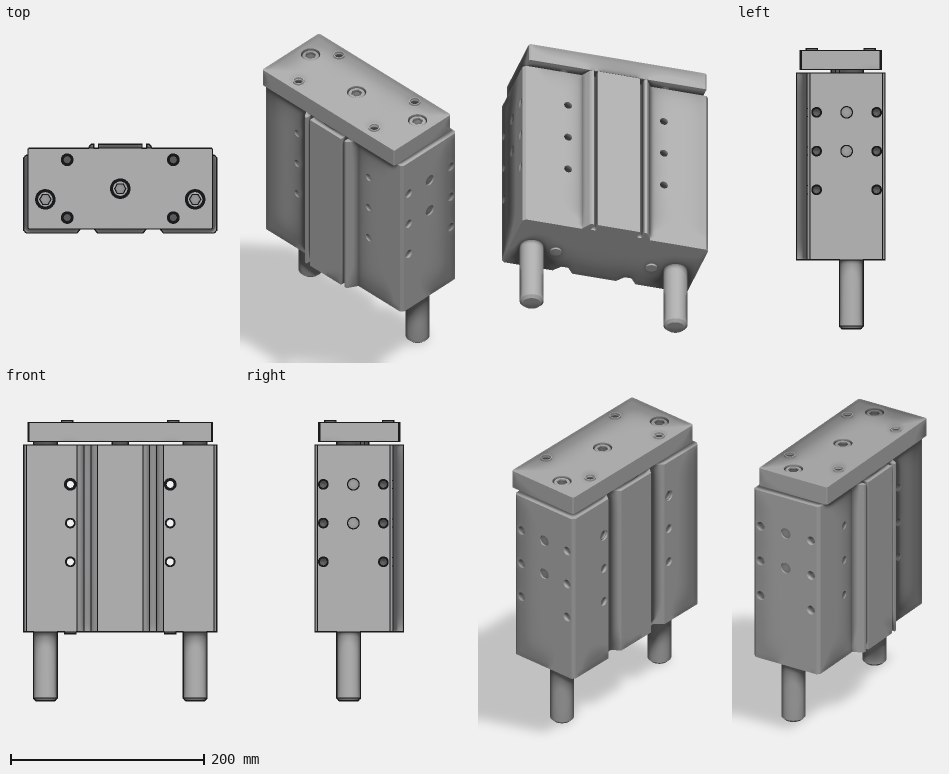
import cadquery as cq
import math

HOUSING_BOTTOM = 71.5
HOUSING_HEIGHT = 193.5
PLATE_GAP = 3.2
PLATE_THICKNESS = 20.0

HOUSING_WIDTH = 200.0
HOUSING_DEPTH = 92.0
BACK_FACE_Y = 34.8
CORNER_CHAMFER = 3.0
PAD_TOP_HALF_WIDTH = 30.0
PAD_EDGE_CHAMFER = 1.5
PAD_SLOPE_WIDTH = 5.5
SLOT_INNER_X = 22.5
SLOT_OUTER_X = 27.3
SLOT_DEPTH = 10.2
GROOVE_INNER_X = 23.5
GROOVE_OUTER_X = 44.7
GROOVE_DEPTH = 9.0
GROOVE_SLOPE_WIDTH = 7.0

HOLE_ROW_DROP = 41.0
HOLE_PITCH = 40.0
HOLE_ROWS = 3
TAP_DIAMETER = 8.5
TAP_MOUTH_DIAMETER = 10.0
DOWEL_DIAMETER = 12.0
DOWEL_DEPTH = 2.0
CROSS_HOLE_X = 51.7
SIDE_CENTRE_Y = -6.0
SIDE_HOLE_OFFSET_Y = 31.0
SIDE_HOLE_DEPTH = 20.0
DRILL_POINT_ANGLE = 118.0
PORT_DIAMETER = 12.0
PORT_DEPTH = 2.0
PORT_ROWS = 2
COVER_DIAMETER = 80.0
COVER_SEAT_DIAMETER = 82.0
COVER_GROOVE_DEPTH = 1.0

COLLAR_DIAMETER = 12.0
COLLAR_HEIGHT = 2.0

PLATE_WIDTH = 191.3
PLATE_DEPTH = 84.0
PLATE_CORNER_CHAMFER = 1.5
PLATE_HOLE_X = 55.0
PLATE_HOLE_Y = 30.0

GUIDE_ROD_DIAMETER = 25.0
GUIDE_ROD_CHAMFER = 3.0
GUIDE_ROD_X = 77.5
GUIDE_ROD_Y = -11.0
PISTON_ROD_DIAMETER = 20.0
PISTON_ROD_FLATS = 16.8
PISTON_ROD_SOCKET_DEPTH = 58.0

SCREW_POCKET_DIAMETER = 20.0
SCREW_HEAD_DIAMETER = 18.0
SCREW_HEAD_HEIGHT = 12.0
SCREW_FACE_DIAMETER = 16.0
SCREW_HEAD_RECESS = 1.2
SCREW_SHANK_DIAMETER = 12.0
SCREW_ENGAGEMENT = 20.0
HEX_ACROSS_FLATS = 10.2
HEX_DEPTH = 3.0
HEX_SIDES = 6

HOUSING_TOP = HOUSING_BOTTOM + HOUSING_HEIGHT
PLATE_BOTTOM = HOUSING_TOP + PLATE_GAP
PLATE_TOP = PLATE_BOTTOM + PLATE_THICKNESS
COLLAR_TOP = PLATE_TOP + COLLAR_HEIGHT
HALF_WIDTH = HOUSING_WIDTH / 2
HALF_DEPTH = HOUSING_DEPTH / 2
PISTON_ROD_BOTTOM = HOUSING_TOP - PISTON_ROD_SOCKET_DEPTH
HEAD_TOP = PLATE_TOP - SCREW_HEAD_RECESS
HEAD_BOTTOM = HEAD_TOP - SCREW_HEAD_HEIGHT
SCREW_BOTTOM = PLATE_BOTTOM - SCREW_ENGAGEMENT

row_heights = [HOUSING_TOP - HOLE_ROW_DROP - i * HOLE_PITCH for i in range(HOLE_ROWS)]
guide_rod_places = [(side * GUIDE_ROD_X, GUIDE_ROD_Y) for side in (-1, 1)]
piston_rod_place = (0, 0)
screw_places = [*guide_rod_places, piston_rod_place]


def upright_cylinder(place, diameter, bottom, top):
    x, y = place
    return cq.Workplane("XY", origin=(x, y, bottom)).circle(diameter / 2).extrude(top - bottom)


def countersink(start, direction):
    """Cone that widens a tapped hole to its mouth diameter at `start`."""
    mouth = TAP_MOUTH_DIAMETER / 2
    core = TAP_DIAMETER / 2
    return cq.Workplane(obj=cq.Solid.makeCone(mouth, core, mouth - core, start, direction))


def collar(place, face_height, direction):
    """Low round collar on a flat face, pointing up (+1) or down (-1)."""
    x, y = place
    disc = cq.Workplane("XY", origin=(x, y, face_height)).circle(COLLAR_DIAMETER / 2)
    return disc.extrude(direction * COLLAR_HEIGHT)


def housing_profile():
    """Right half of the cross-section, mirrored to the left."""
    pad_edge_x = PAD_TOP_HALF_WIDTH + PAD_EDGE_CHAMFER
    groove_floor_y = GROOVE_DEPTH - HALF_DEPTH
    slot_floor_y = HALF_DEPTH - SLOT_DEPTH
    right_half = [
        (0, -HALF_DEPTH),
        (GROOVE_INNER_X, -HALF_DEPTH),
        (GROOVE_INNER_X + GROOVE_SLOPE_WIDTH, groove_floor_y),
        (GROOVE_OUTER_X - GROOVE_SLOPE_WIDTH, groove_floor_y),
        (GROOVE_OUTER_X, -HALF_DEPTH),
        (HALF_WIDTH - CORNER_CHAMFER, -HALF_DEPTH),
        (HALF_WIDTH, CORNER_CHAMFER - HALF_DEPTH),
        (HALF_WIDTH, BACK_FACE_Y - CORNER_CHAMFER),
        (HALF_WIDTH - CORNER_CHAMFER, BACK_FACE_Y),
        (pad_edge_x + PAD_SLOPE_WIDTH, BACK_FACE_Y),
        (pad_edge_x, HALF_DEPTH - PAD_EDGE_CHAMFER),
        (PAD_TOP_HALF_WIDTH, HALF_DEPTH),
        (SLOT_OUTER_X, HALF_DEPTH),
        (SLOT_OUTER_X, slot_floor_y),
        (SLOT_INNER_X, slot_floor_y),
        (SLOT_INNER_X, HALF_DEPTH),
        (0, HALF_DEPTH),
    ]
    return cq.Workplane("XY", origin=(0, 0, HOUSING_BOTTOM)).polyline(right_half).mirrorY()


def cover_groove():
    """Narrow ring groove around the round end cover in the top face."""
    groove = cq.Workplane("XY", origin=(0, 0, HOUSING_TOP))
    groove = groove.circle(COVER_SEAT_DIAMETER / 2).circle(COVER_DIAMETER / 2)
    return groove.extrude(-COVER_GROOVE_DEPTH)


def front_cylinder(x, z, diameter, depth):
    return cq.Workplane("XZ", origin=(x, -HALF_DEPTH, z)).circle(diameter / 2).extrude(-depth)


def cross_hole(x, z, mouth_depth=0.0):
    """Tapped hole from the front to the back face, its countersink starting at `mouth_depth`."""
    through = front_cylinder(x, z, TAP_DIAMETER, HOUSING_DEPTH)
    return through.union(countersink(cq.Vector(x, mouth_depth - HALF_DEPTH, z), cq.Vector(0, 1, 0)))


def dowel_hole(x, z):
    """Cross hole with a shallow dowel seat at its front end."""
    return cross_hole(x, z, DOWEL_DEPTH).union(front_cylinder(x, z, DOWEL_DIAMETER, DOWEL_DEPTH))


def side_hole(side, y, z):
    """Blind hole with a drill point in the left (-1) or right (+1) side."""
    radius = TAP_DIAMETER / 2
    inward = cq.Vector(-side, 0, 0)
    mouth = cq.Vector(side * HALF_WIDTH, y, z)
    point_length = radius / math.tan(math.radians(DRILL_POINT_ANGLE / 2))
    shaft = cq.Solid.makeCylinder(radius, SIDE_HOLE_DEPTH, mouth, inward)
    point = cq.Solid.makeCone(radius, 0, point_length, mouth + inward * SIDE_HOLE_DEPTH, inward)
    return cq.Workplane(obj=shaft.fuse(point)).union(countersink(mouth, inward))


def port(side, z):
    """Shallow round air port seat in a side face."""
    mouth = cq.Vector(side * HALF_WIDTH, SIDE_CENTRE_Y, z)
    inward = cq.Vector(-side, 0, 0)
    return cq.Workplane(obj=cq.Solid.makeCylinder(PORT_DIAMETER / 2, PORT_DEPTH, mouth, inward))


def make_housing():
    body = housing_profile().extrude(HOUSING_HEIGHT)
    body = body.cut(cover_groove())
    body = body.cut(upright_cylinder(piston_rod_place, PISTON_ROD_DIAMETER, PISTON_ROD_BOTTOM, HOUSING_TOP))
    for place in guide_rod_places:
        body = body.cut(upright_cylinder(place, GUIDE_ROD_DIAMETER, HOUSING_BOTTOM, HOUSING_TOP))
    for side in (-1, 1):
        x = side * CROSS_HOLE_X
        body = body.cut(dowel_hole(x, row_heights[0]))
        for z in row_heights[1:]:
            body = body.cut(cross_hole(x, z))
        for z in row_heights:
            for offset in (-SIDE_HOLE_OFFSET_Y, SIDE_HOLE_OFFSET_Y):
                body = body.cut(side_hole(side, SIDE_CENTRE_Y + offset, z))
        for z in row_heights[:PORT_ROWS]:
            body = body.cut(port(side, z))
        body = body.union(collar((x, GUIDE_ROD_Y), HOUSING_BOTTOM, -1))
    return body


def make_plate():
    body = cq.Workplane("XY", origin=(0, 0, PLATE_BOTTOM)).rect(PLATE_WIDTH, PLATE_DEPTH)
    body = body.extrude(PLATE_THICKNESS).edges("|Z").chamfer(PLATE_CORNER_CHAMFER)
    for x in (-PLATE_HOLE_X, PLATE_HOLE_X):
        for y in (-PLATE_HOLE_Y, PLATE_HOLE_Y):
            body = body.union(collar((x, y), PLATE_TOP, 1))
            body = body.cut(upright_cylinder((x, y), TAP_DIAMETER, PLATE_BOTTOM, COLLAR_TOP))
            body = body.cut(upright_cylinder((x, y), TAP_MOUTH_DIAMETER, PLATE_TOP, COLLAR_TOP))
            body = body.cut(countersink(cq.Vector(x, y, PLATE_TOP), cq.Vector(0, 0, -1)))
    for place in screw_places:
        body = body.cut(upright_cylinder(place, SCREW_POCKET_DIAMETER, HEAD_BOTTOM, PLATE_TOP))
        body = body.cut(upright_cylinder(place, SCREW_SHANK_DIAMETER, PLATE_BOTTOM, HEAD_BOTTOM))
    return body


def screw_hole(place):
    return upright_cylinder(place, SCREW_SHANK_DIAMETER, SCREW_BOTTOM, PLATE_BOTTOM)


def make_guide_rod(place):
    rod = upright_cylinder(place, GUIDE_ROD_DIAMETER, 0, PLATE_BOTTOM)
    rod = rod.faces("<Z").chamfer(GUIDE_ROD_CHAMFER)
    return rod.cut(screw_hole(place))


def make_piston_rod():
    """Round rod with two wrench flats on the stretch above the housing."""
    rod = upright_cylinder(piston_rod_place, PISTON_ROD_DIAMETER, PISTON_ROD_BOTTOM, PLATE_BOTTOM)
    neck = cq.Workplane("XY", origin=(0, 0, HOUSING_TOP)).rect(PISTON_ROD_FLATS, PISTON_ROD_DIAMETER)
    neck = neck.extrude(PLATE_GAP)
    lower = upright_cylinder(piston_rod_place, PISTON_ROD_DIAMETER, PISTON_ROD_BOTTOM, HOUSING_TOP)
    return rod.intersect(neck.union(lower)).cut(screw_hole(piston_rod_place))


def make_screw(place):
    """Socket head screw joining the plate to a rod."""
    x, y = place
    head = upright_cylinder(place, SCREW_HEAD_DIAMETER, HEAD_BOTTOM, HEAD_TOP)
    head = head.faces(">Z").chamfer((SCREW_HEAD_DIAMETER - SCREW_FACE_DIAMETER) / 2)
    hex_corner_diameter = HEX_ACROSS_FLATS / math.cos(math.pi / HEX_SIDES)
    socket = cq.Workplane("XY", origin=(x, y, HEAD_TOP)).polygon(HEX_SIDES, hex_corner_diameter)
    socket = socket.extrude(-HEX_DEPTH)
    shank = upright_cylinder(place, SCREW_SHANK_DIAMETER, SCREW_BOTTOM, HEAD_BOTTOM)
    return head.cut(socket).union(shank)


housing = make_housing()
plate = make_plate()
piston_rod = make_piston_rod()
guide_rods = [make_guide_rod(place) for place in guide_rod_places]
screws = [make_screw(place) for place in screw_places]

bodies = [housing, plate, piston_rod, *guide_rods, *screws]
result = cq.Compound.makeCompound([body.val() for body in bodies])